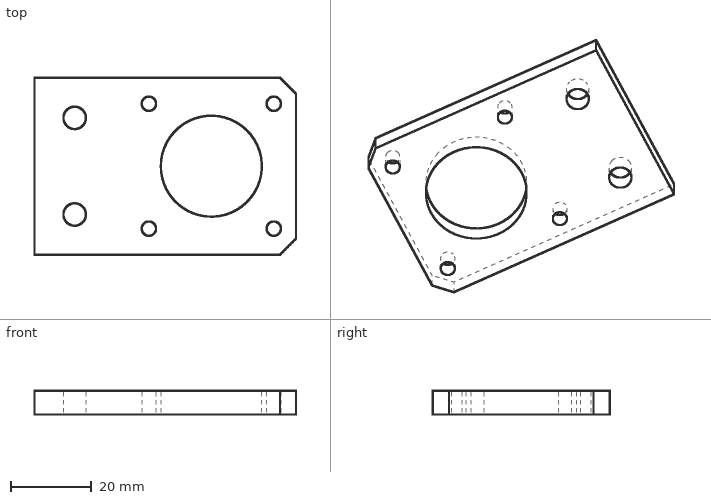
import cadquery as cq

length = 65.0
width = 44.0
thickness = 6.0
corner_chamfer = 4.0

bore_diameter = 25.0
bore_x = 43.95
screw_diameter = 3.5
screw_spacing = 31.0

mount_diameter = 5.5
mount_x = 10.0
mount_spacing = 24.0


def drill(body, points, diameter):
    """Cut through holes at points given on the top face."""
    return body.faces(">Z").workplane(origin=(0, 0, 0)).pushPoints(points).hole(diameter)


plate = cq.Workplane("XY").box(length, width, thickness, centered=(False, True, False))
plate = plate.faces(">X").edges("|Z").chamfer(corner_chamfer)

screw_points = [
    (bore_x + side_x * screw_spacing / 2, side_y * screw_spacing / 2)
    for side_x in (-1, 1)
    for side_y in (-1, 1)
]
mount_points = [(mount_x, side_y * mount_spacing / 2) for side_y in (-1, 1)]

plate = drill(plate, [(bore_x, 0)], bore_diameter)
plate = drill(plate, screw_points, screw_diameter)
result = drill(plate, mount_points, mount_diameter)